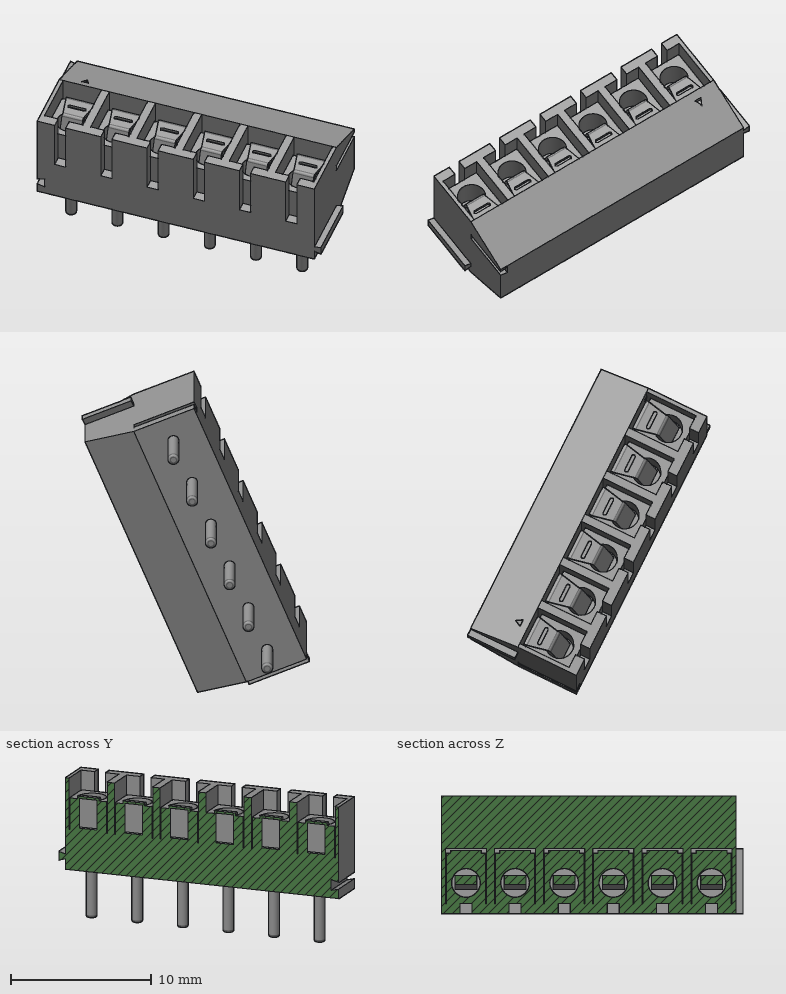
import cadquery as cq
import math


pole_count = 6
pole_pitch = 3.5
body_length = pole_count * pole_pitch
body_depth = 8.4
body_height = 6.8
bevel_start_y = 4.65
bevel_drop = 1.47

dovetail_reach = 0.5
dovetail_tip_width = 0.68
dovetail_neck_width = 0.4
groove_clearance = 0.07
upper_dovetail_z = body_height - 2.0
lower_dovetail_z = 0.97

front_wall = 0.73
cavity_width = 2.9
cavity_depth = 3.78
cavity_floor_z = body_height - cavity_depth
slot_width = 0.84

insert_width = 2.84
insert_back_y = 4.31
insert_top_z = body_height - 1.45
hole_radius = 1.01
hole_y = 2.2

lever_thickness = 0.2
lever_top_z = insert_top_z + lever_thickness
lever_back_width = 2.2
lever_back_radius = 0.26
taper_start_y = 4.25
tongue_width = 1.56
tongue_start_y = 2.73
tongue_foot_y = 1.72
tongue_angle = math.radians(70)
tongue_bend_radius = 0.22
lever_slot_length = 1.36
lever_slot_width = 0.26
lever_slot_y = 3.52

pin_diameter = 0.8
pin_length = 3.5
pin_y = 2.3
pin_tip_radius = 0.18

mark_width = 0.5
mark_height = 0.48
mark_base_y = 5.21
mark_depth = 0.09

pole_xs = [(i - (pole_count - 1) / 2) * pole_pitch for i in range(pole_count)]

bend_end_y = tongue_start_y - tongue_bend_radius * math.sin(tongue_angle)
bend_end_z = lever_top_z - tongue_bend_radius * (1 - math.cos(tongue_angle))
bend_mid_y = tongue_start_y - tongue_bend_radius * math.sin(tongue_angle / 2)
bend_mid_z = lever_top_z - tongue_bend_radius * (1 - math.cos(tongue_angle / 2))
hole_floor_z = bend_end_z - (bend_end_y - tongue_foot_y) * math.tan(tongue_angle)


def box(width, y_range, z_range):
    """Box centred on X = 0 that spans the given Y and Z ranges."""
    return cq.Workplane("XY").box(
        width, y_range[1] - y_range[0], z_range[1] - z_range[0], centered=(True, False, False)
    ).translate((0, y_range[0], z_range[0]))


def make_body():
    """Housing section with both back edges bevelled."""
    return (
        cq.Workplane("YZ", origin=(-body_length / 2, 0, 0))
        .moveTo(0, 0)
        .lineTo(bevel_start_y, 0)
        .lineTo(body_depth, bevel_drop)
        .lineTo(body_depth, body_height - bevel_drop)
        .lineTo(bevel_start_y, body_height)
        .lineTo(0, body_height)
        .close()
        .extrude(body_length)
    )


def dovetail(wall_x, centre_z, y_range, clearance=0.0):
    """Dovetail prism that starts narrow at wall_x and widens towards +X."""
    neck = (dovetail_neck_width + clearance) / 2
    tip = (dovetail_tip_width + clearance) / 2
    reach = dovetail_reach + clearance
    return (
        cq.Workplane("XZ", origin=(wall_x, y_range[0], centre_z))
        .polyline([(0, -neck), (reach, -tip), (reach, tip), (0, neck)])
        .close()
        .extrude(y_range[0] - y_range[1])
    )


def make_lever():
    """Bent strip: leg behind the insert, tapered flat top, tongue into the hole."""
    lever_back_y = taper_start_y + lever_back_radius
    back_mid_y = taper_start_y + lever_back_radius * math.sin(math.pi / 4)
    back_mid_z = lever_top_z - lever_back_radius * (1 - math.cos(math.pi / 4))
    side = (
        cq.Workplane("YZ", origin=(-lever_back_width / 2, 0, 0))
        .moveTo(lever_back_y, cavity_floor_z)
        .lineTo(lever_back_y, lever_top_z - lever_back_radius)
        .threePointArc((back_mid_y, back_mid_z), (taper_start_y, lever_top_z))
        .lineTo(tongue_start_y, lever_top_z)
        .threePointArc((bend_mid_y, bend_mid_z), (bend_end_y, bend_end_z))
        .lineTo(tongue_foot_y, hole_floor_z)
        .lineTo(tongue_start_y, hole_floor_z)
        .lineTo(tongue_start_y, insert_top_z)
        .lineTo(insert_back_y, insert_top_z)
        .lineTo(insert_back_y, cavity_floor_z)
        .close()
        .extrude(lever_back_width)
    )
    plan = (
        cq.Workplane("XY", origin=(0, 0, cavity_floor_z))
        .moveTo(-lever_back_width / 2, lever_back_y)
        .lineTo(-lever_back_width / 2, taper_start_y)
        .lineTo(-tongue_width / 2, tongue_start_y)
        .lineTo(-tongue_width / 2, tongue_foot_y)
        .lineTo(tongue_width / 2, tongue_foot_y)
        .lineTo(tongue_width / 2, tongue_start_y)
        .lineTo(lever_back_width / 2, taper_start_y)
        .lineTo(lever_back_width / 2, lever_back_y)
        .close()
        .extrude(body_height - cavity_floor_z)
    )
    slot = (
        cq.Workplane("XY", origin=(0, lever_slot_y, insert_top_z))
        .slot2D(lever_slot_length, lever_slot_width)
        .extrude(lever_thickness)
    )
    return side.intersect(plan).cut(slot)


def make_insert():
    """Block in the cavity with a round hole, and the lever on top of it."""
    block = box(insert_width, (front_wall, insert_back_y), (cavity_floor_z, insert_top_z))
    hole = (
        cq.Workplane("XY", origin=(0, hole_y, hole_floor_z))
        .circle(hole_radius)
        .extrude(insert_top_z - hole_floor_z)
    )
    return block.cut(hole).union(make_lever())


def make_cavity():
    """Open-topped pocket and the slot that opens it to the front."""
    pocket = box(cavity_width, (front_wall, bevel_start_y), (cavity_floor_z, body_height))
    slot = box(slot_width, (0, front_wall), (cavity_floor_z, body_height))
    return pocket.union(slot)


def make_pin():
    """Round pin below the housing with a rounded tip."""
    return (
        cq.Workplane("XY", origin=(0, pin_y, 0))
        .circle(pin_diameter / 2)
        .extrude(-pin_length)
        .faces("<Z")
        .edges()
        .fillet(pin_tip_radius)
    )


def make_mark():
    """Triangle sunk into the upper bevel behind the first pole."""
    slope = bevel_drop / (body_depth - bevel_start_y)
    tip_surface_z = body_height - slope * (mark_base_y + mark_height - bevel_start_y)
    tip_floor_z = tip_surface_z - mark_depth
    return (
        cq.Workplane("XY", origin=(pole_xs[0], mark_base_y, tip_floor_z))
        .polyline([(-mark_width / 2, 0), (mark_width / 2, 0), (0, mark_height)])
        .close()
        .extrude(body_height - tip_floor_z)
    )


result = make_body()

half_length = body_length / 2
back_range = (bevel_start_y, body_depth)
front_range = (0, bevel_start_y)
upper_rail = dovetail(half_length, upper_dovetail_z, back_range).mirror("YZ")
lower_rail = dovetail(half_length, lower_dovetail_z, front_range)
lower_groove = dovetail(-half_length, lower_dovetail_z, front_range, groove_clearance)
upper_groove = dovetail(half_length, upper_dovetail_z, back_range, groove_clearance).mirror("YZ")
upper_groove = upper_groove.translate((body_length, 0, 0))
result = result.union(upper_rail).union(lower_rail).cut(lower_groove).cut(upper_groove)

cavity = make_cavity()
insert = make_insert()
pin = make_pin()
for x in pole_xs:
    result = result.cut(cavity.translate((x, 0, 0)))
    result = result.union(insert.translate((x, 0, 0)))
    result = result.union(pin.translate((x, 0, 0)))

result = result.cut(make_mark())